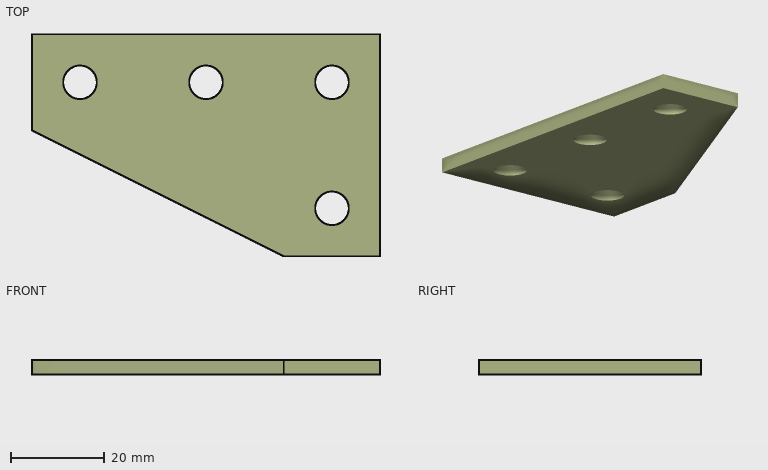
import cadquery as cq

INCH = 25.4
hole_pitch = 17 / 16 * INCH
edge_margin = 13 / 32 * INCH
hole_diameter = 9 / 32 * INCH
thickness = INCH / 8

long_arm_pitches = 2
short_arm_pitches = 1
arm_width = 2 * edge_margin
length = long_arm_pitches * hole_pitch + arm_width
width = short_arm_pitches * hole_pitch + arm_width


def plate():
    """Rectangle with its corner at the origin cut off by a slope joining the two arm ends."""
    outline = [
        (0, width),
        (length, width),
        (length, 0),
        (length - arm_width, 0),
        (0, width - arm_width),
    ]
    return cq.Workplane("XY").polyline(outline).close().extrude(thickness)


def hole_centres():
    """Holes along the long arm, starting at the shared corner, then down the short arm."""
    corner_x = length - edge_margin
    corner_y = width - edge_margin
    long_arm = [(corner_x - i * hole_pitch, corner_y) for i in range(long_arm_pitches + 1)]
    short_arm = [(corner_x, corner_y - i * hole_pitch) for i in range(1, short_arm_pitches + 1)]
    return long_arm + short_arm


result = plate().faces(">Z").workplane(origin=(0, 0, 0)).pushPoints(hole_centres()).hole(hole_diameter)